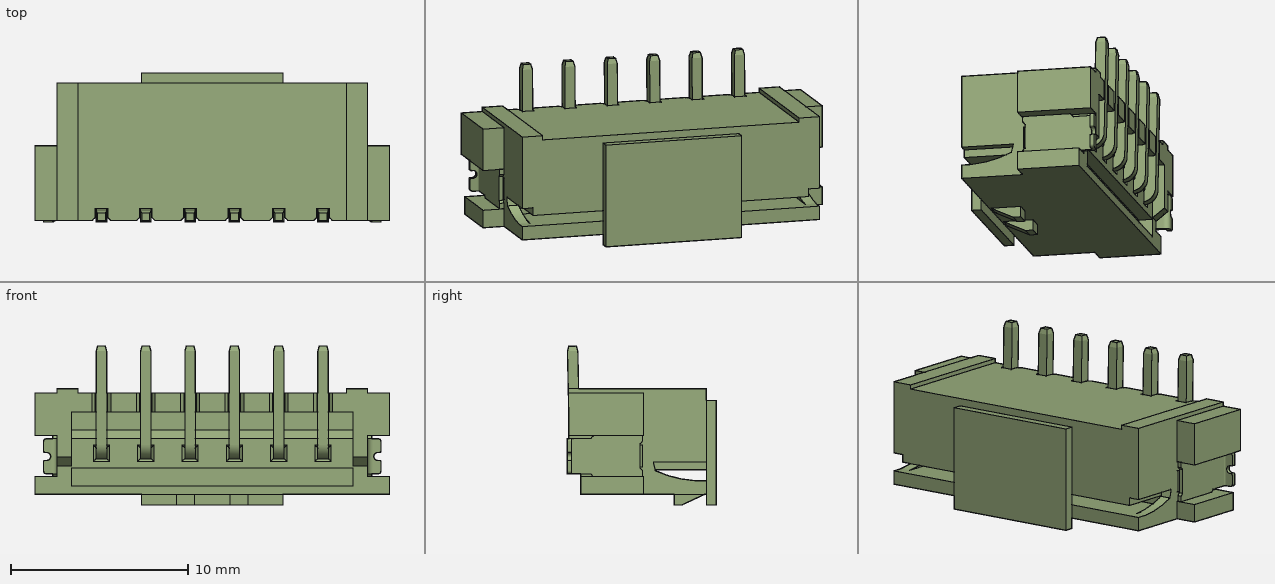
import cadquery as cq


housing_length = 17.52
housing_depth = 7.78
housing_height = 5.72
lower_setback = 0.68
leg_foot_outer_z = 2.12
leg_foot_inner_z = 1.6
ridge_width = 1.2
ridge_top = 5.95

ear_length = 20.0
ear_back = 4.25
lower_ear_top = 1.02
upper_ear_bottom = 3.32

window_length = 15.88
window_top = 4.65
window_back = 1.6
sill_top = 3.62
sill_bottom = 3.15
groove_bottom = 0.48
groove_top = 1.5
groove_depth = 0.8

pin_count = 6
pin_pitch = 2.5
pin_size = 0.6
pin_front = 0.05
pin_top = 8.35
pin_bottom = 1.98
pin_inner_bend = 0.2
pin_tip_inset = 0.08
pin_tip_length = 0.3
pin_lean = 1.2
pin_root = 2.0

hole_width = 0.92
hole_bottom = 1.85
hole_top = 2.78
hole_taper = 0.15
notch_width = 0.7
notch_depth = 0.68
notch_chamfer = 0.18

plate_length = 8.0
plate_back = 8.35
plate_bottom = -0.6
plate_top = 5.3
hook_centre = 1.5
hook_width = 1.02
hook_tip_back = 6.4
hook_front = 5.95
hook_slope_start = 7.68

slot_floor = 0.78
side_curve_start = 7.15
slot_ceiling = 1.38
slot_front = 4.78
side_slot_top = 1.82
side_wall = 0.65
side_slot_mid = (5.98, 0.95)
side_slot_corner = (4.9, 1.35)

tab_thickness = 0.25
tab_front = -0.08
tab_back = 4.18
tab_outer = 9.52
foot_bottom = 1.15
foot_top = 3.15
foot_setback = 1.25
foot_corner_radius = 0.15
foot_notch_z = 2.15
foot_notch_radius = 0.22
foot_notch_lip = 0.08
foot_inner_bend = 0.08
foot_notch_tip = 9.12
rear_notch_depth = 0.15
rear_notch_margin = 0.32
relief_bottom = 1.55
relief_top = 2.78
relief_depth = 0.15

pin_places = [(i - (pin_count - 1) / 2) * pin_pitch for i in range(pin_count)]


def block(x_range, y_range, z_range):
    """Box between the given pairs of coordinates."""
    size = [r[1] - r[0] for r in (x_range, y_range, z_range)]
    return cq.Workplane("XY").box(*size, centered=False).translate((x_range[0], y_range[0], z_range[0]))


def centred_block(length, y_range, z_range):
    return block((-length / 2, length / 2), y_range, z_range)


def extrude_along_x(side_profile, x_start, length):
    """Extrude a profile drawn in (Y, Z) along +X."""
    return side_profile.extrude(length).translate((x_start, 0, 0))


def both_ends(shape):
    return shape.union(shape.mirror("YZ"))


def make_housing():
    outline = cq.Workplane("YZ").polyline([
        (lower_setback, 0),
        (housing_depth, 0),
        (housing_depth, housing_height),
        (0, housing_height),
        (0, leg_foot_outer_z),
        (lower_setback, leg_foot_inner_z),
    ]).close()
    housing = extrude_along_x(outline, -housing_length / 2, housing_length)
    ridge = block(
        (-housing_length / 2, -housing_length / 2 + ridge_width),
        (0, housing_depth),
        (housing_height, ridge_top),
    )
    upper_ears = centred_block(ear_length, (0, ear_back), (upper_ear_bottom, housing_height))
    lower_ears = centred_block(ear_length, (lower_setback, ear_back), (0, lower_ear_top))
    return housing.union(both_ends(ridge)).union(upper_ears).union(lower_ears)


def make_window():
    profile = cq.Workplane("YZ").polyline([
        (0, window_top),
        (window_back, window_top),
        (window_back, sill_top),
        (lower_setback, sill_bottom),
        (lower_setback, leg_foot_inner_z),
        (0, leg_foot_inner_z),
    ]).close()
    return extrude_along_x(profile, -window_length / 2, window_length)


def make_groove():
    y_range = (lower_setback, lower_setback + groove_depth)
    return centred_block(window_length, y_range, (groove_bottom, groove_top))


def make_pin_openings():
    """Notch through the top bar and hole in the wall for one pin at X = 0."""
    half_notch = notch_width / 2
    half_mouth = half_notch + notch_chamfer
    notch = cq.Workplane("XY").workplane(offset=window_top).polyline([
        (-half_mouth, 0),
        (half_mouth, 0),
        (half_notch, notch_chamfer),
        (half_notch, notch_depth),
        (-half_notch, notch_depth),
        (-half_notch, notch_chamfer),
    ]).close().extrude(housing_height - window_top)
    hole_height = hole_top - hole_bottom
    hole = (
        cq.Workplane("XZ", origin=(0, lower_setback, hole_bottom + hole_height / 2))
        .rect(hole_width, hole_height)
        .workplane(offset=-hole_taper)
        .rect(hole_width - 2 * hole_taper, hole_height - 2 * hole_taper)
        .loft(ruled=True)
    )
    return notch.union(hole)


def make_pin():
    """Square pin at X = 0, bent from the wall up, with a tapered tip and a slight lean."""
    shaft_top = pin_top - pin_tip_length
    pin_back = pin_front + pin_size
    bar_top = pin_bottom + pin_size
    profile = cq.Workplane("YZ").polyline([
        (pin_front, shaft_top),
        (pin_front, pin_bottom),
        (pin_root, pin_bottom),
        (pin_root, bar_top),
        (pin_back, bar_top),
        (pin_back, shaft_top),
    ]).close()
    pin = extrude_along_x(profile, -pin_size / 2, pin_size)
    pin = pin.edges(cq.selectors.NearestToPointSelector((0, pin_back, bar_top))).fillet(pin_inner_bend)
    pin = pin.edges("|X and <Y and <Z").fillet(pin_inner_bend + pin_size)
    tip_size = pin_size - 2 * pin_tip_inset
    tip = (
        cq.Workplane("XY", origin=(0, pin_front + pin_size / 2, shaft_top))
        .rect(pin_size, pin_size)
        .workplane(offset=pin_tip_length)
        .rect(tip_size, tip_size)
        .loft(ruled=True)
    )
    return pin.union(tip).rotate((0, 0, pin_bottom), (1, 0, pin_bottom), pin_lean)


def make_back_plate():
    plate = centred_block(plate_length, (housing_depth, plate_back), (plate_bottom, plate_top))
    hook_profile = cq.Workplane("YZ").polyline([
        (hook_slope_start, 0),
        (hook_tip_back, plate_bottom),
        (hook_front, plate_bottom),
        (hook_front, 0),
    ]).close()
    hook = extrude_along_x(hook_profile, hook_centre - hook_width / 2, hook_width)
    return plate.union(both_ends(hook))


def make_back_slot():
    """Gap across the housing, taller and with a curved floor where it passes the side walls."""
    inner_length = housing_length - 2 * side_wall
    gap = centred_block(inner_length, (slot_front, housing_depth), (slot_floor, slot_ceiling))
    profile = (
        cq.Workplane("YZ")
        .moveTo(housing_depth, slot_floor)
        .lineTo(side_curve_start, slot_floor)
        .threePointArc(side_slot_mid, side_slot_corner)
        .lineTo(slot_front, side_slot_top)
        .lineTo(housing_depth, side_slot_top)
        .close()
    )
    side = extrude_along_x(profile, -housing_length / 2, side_wall)
    return gap.union(both_ends(side))


def make_solder_tab():
    """Tab on the +X end: a strip along the housing bent outward into a notched foot."""
    inner = housing_length / 2
    strip_outer = inner + tab_thickness
    strip = (
        cq.Workplane("YZ")
        .polyline([
            (tab_front, foot_bottom),
            (foot_setback, foot_bottom),
            (foot_setback + foot_bottom - lower_ear_top, lower_ear_top),
            (tab_back, lower_ear_top),
            (tab_back, lower_ear_top + rear_notch_margin),
            (tab_back - rear_notch_depth, lower_ear_top + rear_notch_margin + rear_notch_depth),
            (tab_back - rear_notch_depth, upper_ear_bottom - rear_notch_margin - rear_notch_depth),
            (tab_back, upper_ear_bottom - rear_notch_margin),
            (tab_back, upper_ear_bottom),
            (foot_setback + upper_ear_bottom - foot_top, upper_ear_bottom),
            (foot_setback, foot_top),
            (tab_front, foot_top),
        ])
        .close()
    )
    strip = extrude_along_x(strip, inner, tab_thickness)
    foot_y = (tab_front, tab_front + tab_thickness)
    foot = block((strip_outer, tab_outer), foot_y, (foot_bottom, foot_top))
    foot = foot.edges("|Y and >X").fillet(foot_corner_radius)
    notch_centre = foot_notch_tip + foot_notch_radius
    notch = block(
        (notch_centre, tab_outer),
        foot_y,
        (foot_notch_z - foot_notch_radius, foot_notch_z + foot_notch_radius),
    )
    notch_end = (
        cq.Workplane("XZ", origin=(notch_centre, foot_y[1], foot_notch_z))
        .circle(foot_notch_radius)
        .extrude(tab_thickness)
    )
    foot = foot.cut(notch).cut(notch_end)
    for z in (foot_notch_z - foot_notch_radius, foot_notch_z + foot_notch_radius):
        lip = cq.selectors.NearestToPointSelector((tab_outer, tab_front + tab_thickness / 2, z))
        foot = foot.edges(lip).fillet(foot_notch_lip)
    inside_corner = cq.selectors.NearestToPointSelector((strip_outer, foot_y[1], foot_notch_z))
    tab = strip.union(foot).edges(inside_corner).fillet(foot_inner_bend)
    outside_corner = cq.selectors.NearestToPointSelector((inner, tab_front, foot_notch_z))
    return tab.edges(outside_corner).fillet(foot_inner_bend + tab_thickness)


def make_tab_end_relief():
    """Wedge cut in the +X housing wall behind the rear notch of the solder tab."""
    wall = housing_length / 2
    return (
        cq.Workplane("XY", origin=(0, 0, relief_bottom))
        .polyline([
            (wall, tab_back - rear_notch_depth),
            (wall, tab_back),
            (wall - relief_depth, tab_back),
        ])
        .close()
        .extrude(relief_top - relief_bottom)
    )


result = make_housing().cut(make_window()).cut(make_groove()).cut(make_back_slot())
result = result.cut(both_ends(make_tab_end_relief()))
for x in pin_places:
    result = result.cut(make_pin_openings().translate((x, 0, 0)))
    result = result.union(make_pin().translate((x, 0, 0)))
result = result.union(make_back_plate()).union(both_ends(make_solder_tab()))